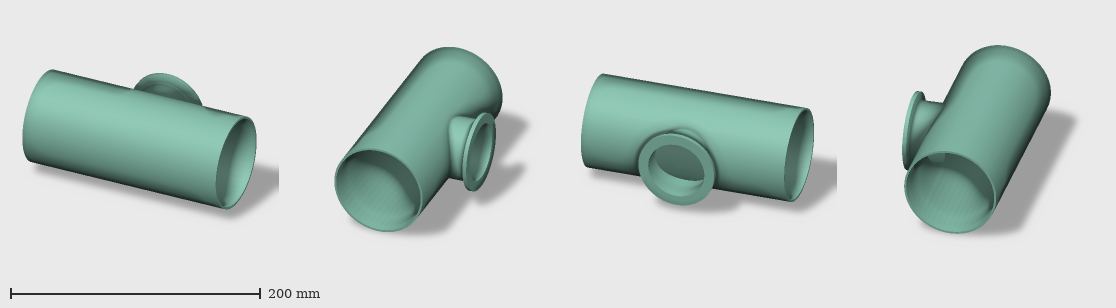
import cadquery as cq
import math

run_length = 171.4
run_radius = 76.3 / 2
wall = 1.7

branch_radius = 50.7 / 2
branch_bore_radius = branch_radius - wall
branch_reach = 54.0
weld_fillet = 1.0

ferrule_length = 12.7
flange_radius = 64.0 / 2
rim_thickness = 3.3
flange_slope = 17.0
neck_fillet = 1.5

stub_end = branch_reach - ferrule_length


def x_cylinder(radius):
    """Cylinder as long as the run tube, along X."""
    return cq.Workplane("YZ").circle(radius).extrude(run_length / 2, both=True)


def y_cylinder(radius):
    """Cylinder from the run axis to the end of the branch stub."""
    return cq.Workplane("XZ").circle(radius).extrude(-stub_end)


def make_tee():
    """Run tube with a short branch stub, filleted where they meet."""
    outside = x_cylinder(run_radius).union(y_cylinder(branch_radius))

    saddle_selector = cq.selectors.BoxSelector(
        (-run_radius, 0, -run_radius),
        (run_radius, stub_end - wall / 2, run_radius),
        boundingbox=True,
    )
    outside = outside.edges(saddle_selector).fillet(weld_fillet)
    return outside.cut(x_cylinder(run_radius - wall)).cut(y_cylinder(branch_bore_radius))


def make_ferrule():
    """Turned clamp ferrule, with a conical flange back blended into its neck."""
    rim_back = branch_reach - rim_thickness
    cone_drop = (flange_radius - branch_radius) * math.tan(math.radians(flange_slope))
    profile = (
        cq.Workplane("XY")
        .moveTo(branch_bore_radius, stub_end)
        .lineTo(branch_radius, stub_end)
        .lineTo(branch_radius, rim_back - cone_drop)
        .lineTo(flange_radius, rim_back)
        .lineTo(flange_radius, branch_reach)
        .lineTo(branch_bore_radius, branch_reach)
        .close()
    )
    ferrule = profile.revolve(360, (0, 0, 0), (0, 1, 0))
    neck_selector = cq.selectors.BoxSelector(
        (-flange_radius, stub_end + wall, -flange_radius),
        (flange_radius, rim_back - cone_drop / 2, flange_radius),
    )
    neck_edges = ferrule.edges("%CIRCLE").edges(neck_selector)
    return neck_edges.fillet(neck_fillet)


tee = make_tee()
ferrule = make_ferrule()
result = cq.Compound.makeCompound([tee.val(), ferrule.val()])